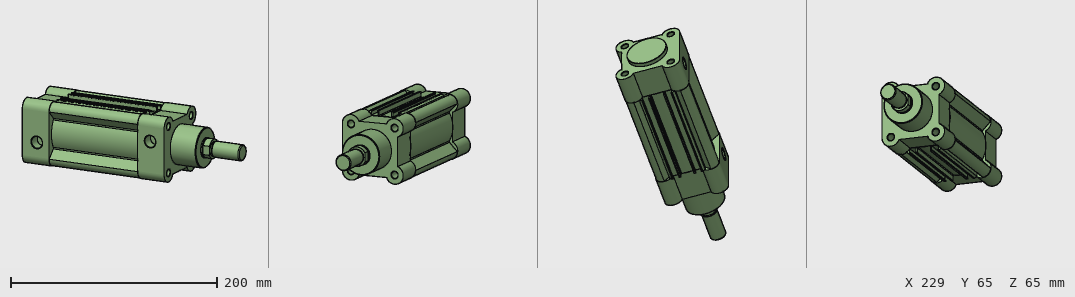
import cadquery as cq
import math


body_length = 156.0
rear_cap_length = 29.4
front_cap_length = 29.2
barrel_length = body_length - rear_cap_length - front_cap_length
spigot_length = 4.0
collar_length = 28.0
front_cap_x = rear_cap_length + barrel_length
front_face_x = front_cap_x + front_cap_length
collar_end_x = front_face_x + collar_length

cap_size = 65.0
corner_spacing = 46.5
corner_center = corner_spacing / 2
cap_corner_radius = (cap_size - corner_spacing) / 2
cap_recessed_half = 26.6
spigot_diameter = 40.0
collar_diameter = spigot_diameter
collar_chamfer = 0.7
spigot_chamfer = 0.3
screw_hole_diameter = 6.8
screw_hole_chamfer = 0.5
port_diameter = 11.8
port_chamfer = 0.5
port_depth = 12.0
port_offset_z = 8.4
rear_port_x = 16.0
front_port_setback = 15.5
front_port_x = front_face_x - front_port_setback

barrel_radius = 27.3
barrel_half = 32.0
barrel_corner_radius = 8.3
barrel_corner_center = barrel_half - barrel_corner_radius
recess_floor = 23.6
slot_floor = 27.1
rib_top = 32.2
lip_thickness = 1.0
outer_rib_outside = 18.0
outer_rib_height = 30.6
outer_rib_knee_y = 16.7
outer_rib_knee_z = 31.3
outer_rib_top_edge = 15.6
outer_rib_inside = 15.0
outer_lip_edge = 14.2
inner_lip_edge = 8.6
inner_rib_outside = 8.0
inner_rib_inside = 6.75
rib_foot = 5.9

rod_diameter = 20.0
wrench_diameter = 19.4
wrench_flats_width = 17.2
shoulder_length = 2.0
shoulder_taper_length = 0.7
shoulder_end_x = collar_end_x + shoulder_length
wrench_end_reach = 37.0
thread_length = 32.0
wrench_end_x = front_face_x + wrench_end_reach
neck_diameter = 14.8
neck_length = 1.5
neck_taper_length = 1.0
thread_diameter = 16.0
thread_end_x = wrench_end_x + thread_length
thread_chamfer = 1.2
thread_chamfer_depth = 0.8


def cap_block(start_x, length):
    """Square block with four round corner lobes, recessed on every side except -Y."""
    across = 2 * cap_recessed_half
    core = cq.Workplane("YZ", origin=(start_x, 0, 0)).rect(across, across).extrude(length)
    lobes = (
        cq.Workplane("YZ", origin=(start_x, 0, 0))
        .rect(corner_spacing, corner_spacing, forConstruction=True)
        .vertices()
        .circle(cap_corner_radius)
        .extrude(length)
    )
    port_pad = cq.Workplane("XY").box(
        length, cap_size / 2, corner_spacing, centered=(False, False, True)
    ).translate((start_x, -cap_size / 2, 0))
    return core.union(lobes).union(port_pad)


def countersunk_hole(diameter, depth, chamfer):
    """Cutter for a hole along +Z from the origin, with a chamfered mouth."""
    radius = diameter / 2
    return (
        cq.Workplane("XZ")
        .lineTo(radius + chamfer, 0)
        .lineTo(radius, chamfer)
        .lineTo(radius, depth)
        .lineTo(0, depth)
        .close()
        .revolve(360, (0, 0, 0), (0, 1, 0))
    )


def cut_screw_holes(cap, length, outer_x, inward):
    """Cut a screw hole through each corner lobe; inward is +1 or -1 along X from the outer face."""
    hole = countersunk_hole(screw_hole_diameter, length, screw_hole_chamfer)
    hole = hole.rotate((0, 0, 0), (0, 1, 0), 90 * inward)
    for y in (-corner_center, corner_center):
        for z in (-corner_center, corner_center):
            cap = cap.cut(hole.translate((outer_x, y, z)))
    return cap


def air_port(x, z):
    """Cutter for a blind air port entering a cap from its flat -Y side."""
    port = countersunk_hole(port_diameter, port_depth, port_chamfer)
    return port.rotate((0, 0, 0), (1, 0, 0), -90).translate((x, -cap_size / 2, z))


def make_rear_cap():
    cap = cap_block(0, rear_cap_length)
    spigot = (
        cq.Workplane("YZ")
        .circle(spigot_diameter / 2)
        .extrude(-spigot_length)
        .faces("<X")
        .chamfer(spigot_chamfer)
    )
    cap = cap.union(spigot)
    cap = cut_screw_holes(cap, rear_cap_length, 0, 1)
    return cap.cut(air_port(rear_port_x, -port_offset_z))


def make_front_cap():
    cap = cap_block(front_cap_x, front_cap_length)
    collar = (
        cq.Workplane("YZ", origin=(front_face_x, 0, 0))
        .circle(collar_diameter / 2)
        .extrude(collar_length)
        .faces(">X")
        .chamfer(collar_chamfer)
    )
    cap = cap.union(collar)
    cap = cut_screw_holes(cap, front_cap_length, front_face_x, -1)
    return cap.cut(air_port(front_port_x, port_offset_z))


def barrel_quarter():
    """Barrel section in the +Y +Z quadrant: sensor slot on top, sloped recess at the side."""
    bulge_at_recess = math.sqrt(barrel_radius**2 - recess_floor**2)
    bulge_mid_angle = math.atan2(bulge_at_recess, recess_floor) / 2
    foot_z = math.sqrt(barrel_radius**2 - rib_foot**2)
    foot_mid_angle = math.acos(rib_foot / barrel_radius) / 2 + math.pi / 4
    slope_drop = barrel_half - recess_floor
    corner_diagonal = barrel_corner_center + barrel_corner_radius * math.sqrt(0.5)
    lip_under = rib_top - lip_thickness
    return (
        cq.Workplane("YZ", origin=(rear_cap_length, 0, 0))
        .moveTo(0, 0)
        .lineTo(barrel_radius, 0)
        .threePointArc(
            (barrel_radius * math.cos(bulge_mid_angle), barrel_radius * math.sin(bulge_mid_angle)),
            (recess_floor, bulge_at_recess),
        )
        .lineTo(recess_floor, barrel_corner_center - slope_drop)
        .lineTo(barrel_half, barrel_corner_center)
        .threePointArc((corner_diagonal, corner_diagonal), (barrel_corner_center, barrel_half))
        .lineTo(outer_rib_outside, barrel_half - (barrel_corner_center - outer_rib_outside))
        .lineTo(outer_rib_outside, outer_rib_height)
        .lineTo(outer_rib_knee_y, outer_rib_knee_z)
        .lineTo(outer_rib_top_edge, rib_top)
        .lineTo(outer_lip_edge, rib_top)
        .lineTo(outer_lip_edge, lip_under)
        .lineTo(outer_rib_inside, lip_under)
        .lineTo(outer_rib_inside, slot_floor)
        .lineTo(inner_rib_outside, slot_floor)
        .lineTo(inner_rib_outside, lip_under)
        .lineTo(inner_lip_edge, lip_under)
        .lineTo(inner_lip_edge, rib_top)
        .lineTo(inner_rib_inside, rib_top)
        .lineTo(inner_rib_inside, foot_z + (inner_rib_inside - rib_foot))
        .lineTo(rib_foot, foot_z)
        .threePointArc(
            (barrel_radius * math.cos(foot_mid_angle), barrel_radius * math.sin(foot_mid_angle)),
            (0, barrel_radius),
        )
        .close()
        .extrude(barrel_length)
    )


def make_barrel():
    quarter = barrel_quarter()
    half = quarter.union(quarter.mirror("XZ"))
    return half.union(half.mirror("XY")).clean()


def make_rod():
    """Rod with a shoulder, wrench flats on +Y and -Y, an undercut neck and a plain thread stub."""
    rod_radius = rod_diameter / 2
    wrench_radius = wrench_diameter / 2
    neck_radius = neck_diameter / 2
    thread_radius = thread_diameter / 2
    neck_end_x = wrench_end_x + neck_length
    turned = (
        cq.Workplane("XY")
        .moveTo(collar_end_x, 0)
        .lineTo(collar_end_x, rod_radius)
        .lineTo(shoulder_end_x - shoulder_taper_length, rod_radius)
        .lineTo(shoulder_end_x, wrench_radius)
        .lineTo(wrench_end_x, wrench_radius)
        .lineTo(wrench_end_x, neck_radius)
        .lineTo(neck_end_x, neck_radius)
        .lineTo(neck_end_x + neck_taper_length, thread_radius)
        .lineTo(thread_end_x - thread_chamfer, thread_radius)
        .lineTo(thread_end_x, thread_radius - thread_chamfer_depth)
        .lineTo(thread_end_x, 0)
        .close()
        .revolve(360, (0, 0, 0), (1, 0, 0))
    )
    flats_length = wrench_end_x - shoulder_end_x
    flats_middle_x = (wrench_end_x + shoulder_end_x) / 2
    flat_cutter = cq.Workplane("XY").box(flats_length, rod_radius, rod_diameter)
    flat_cutter_y = (wrench_flats_width + rod_radius) / 2
    for side in (-1, 1):
        turned = turned.cut(flat_cutter.translate((flats_middle_x, side * flat_cutter_y, 0)))
    return turned


rear_cap = make_rear_cap()
barrel = make_barrel()
front_cap = make_front_cap()
rod = make_rod()

result = cq.Compound.makeCompound([rear_cap.val(), barrel.val(), front_cap.val(), rod.val()])